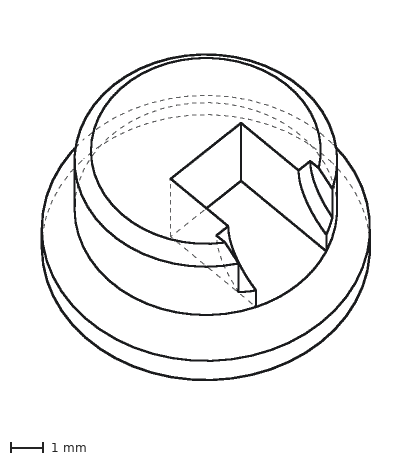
import cadquery as cq

flange_radius = 5.0
flange_rim_height = 1.0
boss_radius = 4.0
part_height = 5.0
top_chamfer = 0.5
flange_taper = flange_radius - boss_radius
boss_base_z = flange_rim_height + flange_taper

slot_width = 3.0

scoop_width = 4.0
scoop_radius = 2.5
scoop_axis_x = 5.0


def make_body():
    """Revolve the stepped profile about Z."""
    profile = (
        cq.Workplane("XZ")
        .lineTo(flange_radius, 0)
        .lineTo(flange_radius, flange_rim_height)
        .lineTo(boss_radius, boss_base_z)
        .lineTo(boss_radius, part_height - top_chamfer)
        .lineTo(boss_radius - top_chamfer, part_height)
        .lineTo(0, part_height)
        .close()
    )
    return profile.revolve(360, (0, 0, 0), (0, 1, 0))


def make_slot():
    """Box from the axis outward, with its floor level with the boss base."""
    return cq.Workplane("XY", origin=(0, 0, boss_base_z)).box(
        flange_radius, slot_width, part_height - boss_base_z, centered=(False, True, False)
    )


def make_scoop():
    """Cylinder along Y whose axis lies in the plane of the top face."""
    return (
        cq.Workplane("XZ")
        .center(scoop_axis_x, part_height)
        .circle(scoop_radius)
        .extrude(scoop_width / 2, both=True)
    )


result = make_body().cut(make_slot()).cut(make_scoop())